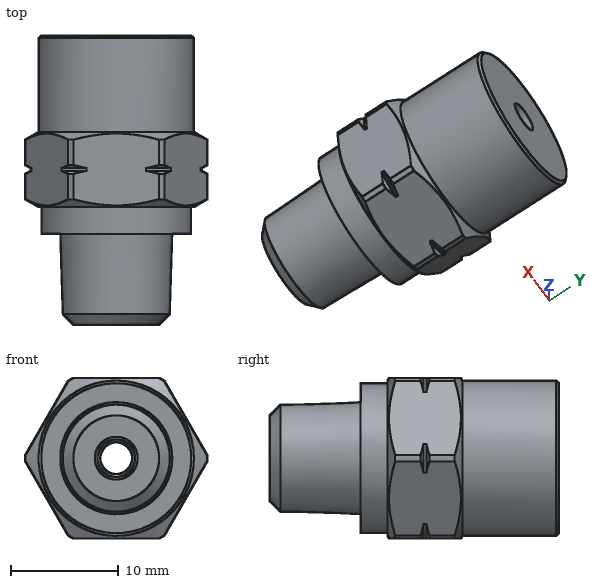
import cadquery as cq
import math


total_length = 27.0
spigot_length = 8.5
collar_length = 2.5
hex_length = 7.0
collar_start = spigot_length
hex_start = collar_start + collar_length
hex_end = hex_start + hex_length
hex_middle = (hex_start + hex_end) / 2

spigot_diameter = 10.0
spigot_taper = 1 / 16
tip_chamfer = 1.0
spigot_root_diameter = spigot_diameter + spigot_taper * (spigot_length - tip_chamfer)

collar_diameter = 14.0
barrel_diameter = 14.5
barrel_chamfer = 0.25

hex_across_flats = 15.0
hex_across_corners = hex_across_flats / math.cos(math.radians(30))
hex_turned_diameter = 17.0
hex_chamfer_angle = math.radians(30)
hex_chamfer_length = (hex_turned_diameter - barrel_diameter) / 2 * math.tan(hex_chamfer_angle)

groove_floor_diameter = 16.0
groove_floor_width = 0.25
groove_flank_angle = math.radians(30)

counterbore_diameter = 4.0
counterbore_depth = spigot_length + collar_length
countersink_diameter = 3.5
through_diameter = 2.95
countersink_depth = (countersink_diameter - through_diameter) / 2


def revolve_profile(points):
    """Revolve a closed outline of (radius, y) points about the Y axis."""
    return cq.Workplane("XY").polyline(points).close().revolve(360, (0, 0, 0), (0, 1, 0))


def make_round_body():
    spigot_radius = spigot_diameter / 2
    collar_radius = collar_diameter / 2
    barrel_radius = barrel_diameter / 2
    return revolve_profile([
        (0, 0),
        (spigot_radius - tip_chamfer, 0),
        (spigot_radius, tip_chamfer),
        (spigot_root_diameter / 2, collar_start),
        (collar_radius, collar_start),
        (collar_radius, hex_start),
        (barrel_radius, hex_start),
        (barrel_radius, total_length - barrel_chamfer),
        (barrel_radius - barrel_chamfer, total_length),
        (0, total_length),
    ])


def make_hex():
    """Hexagon with corners on the X axis, trimmed by a turned and chamfered envelope."""
    prism = (
        cq.Workplane("XZ", origin=(0, hex_start, 0))
        .polygon(6, hex_across_corners)
        .extrude(-hex_length)
    )
    end_radius = barrel_diameter / 2
    turned_radius = hex_turned_diameter / 2
    envelope = revolve_profile([
        (0, hex_start),
        (end_radius, hex_start),
        (turned_radius, hex_start + hex_chamfer_length),
        (turned_radius, hex_end - hex_chamfer_length),
        (end_radius, hex_end),
        (0, hex_end),
    ])
    return prism.intersect(envelope)


def make_corner_groove():
    """Ring with a trapezoidal section; it only reaches the hex corners."""
    floor_radius = groove_floor_diameter / 2
    outer_radius = hex_across_corners / 2
    floor_half = groove_floor_width / 2
    mouth_half = floor_half + (outer_radius - floor_radius) * math.tan(groove_flank_angle)
    return revolve_profile([
        (floor_radius, hex_middle - floor_half),
        (outer_radius, hex_middle - mouth_half),
        (outer_radius, hex_middle + mouth_half),
        (floor_radius, hex_middle + floor_half),
    ])


def make_bore():
    counterbore_radius = counterbore_diameter / 2
    countersink_radius = countersink_diameter / 2
    through_radius = through_diameter / 2
    return revolve_profile([
        (0, 0),
        (counterbore_radius, 0),
        (counterbore_radius, counterbore_depth),
        (countersink_radius, counterbore_depth),
        (through_radius, counterbore_depth + countersink_depth),
        (through_radius, total_length),
        (0, total_length),
    ])


notched_hex = make_hex().cut(make_corner_groove())
result = make_round_body().union(notched_hex).cut(make_bore())